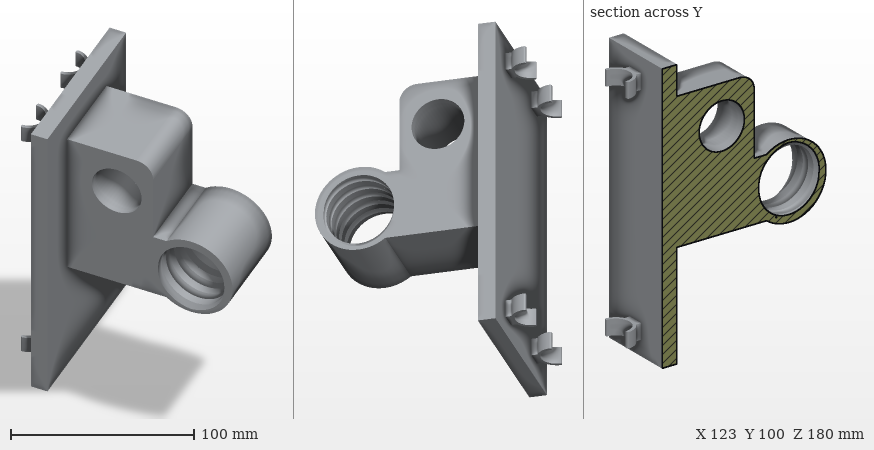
import cadquery as cq

plate_thickness = 10.0
plate_width = 100.0
plate_height = 180.0

bracket_width = 50.0
block_back_x = 62.0
block_top_z = 71.0
block_corner_radius = 10.0
arm_half_height = 20.0

cross_hole_radius = 15.0
cross_hole_x = 40.0
cross_hole_z = 45.0

tube_outer_radius = 25.0
bore_radius = 20.0
tube_x = 85.0

thread_pitch = 10.0
groove_width = thread_pitch / 2
groove_depth = 3.0
groove_overlap = 0.5
groove_run_in = thread_pitch
groove_run_out = thread_pitch / 2

clip_outer_radius = 11.0
clip_inner_radius = 9.0
clip_tip_radius = 1.0
clip_axis_x = -13.0
clip_height = 10.0
clip_stem_width = 10.7
clip_y_offset = 25.0
clip_z_offset = 75.0


def cylinder_along_y(radius, x, z):
    """Cylinder as long as the bracket is wide, parallel to Y."""
    return cq.Workplane("XZ").center(x, z).circle(radius).extrude(bracket_width / 2, both=True)


def make_plate():
    return cq.Workplane("XY").box(
        plate_thickness, plate_width, plate_height, centered=(False, True, True)
    )


def make_bracket():
    """Block, arm and tube body, still without holes."""
    corner_start = (block_back_x, block_top_z - block_corner_radius)
    corner_end = (block_back_x - block_corner_radius, block_top_z)
    block_and_arm = (
        cq.Workplane("XZ")
        .moveTo(plate_thickness, -arm_half_height)
        .lineTo(tube_x, -arm_half_height)
        .lineTo(tube_x, arm_half_height)
        .lineTo(block_back_x, arm_half_height)
        .lineTo(*corner_start)
        .radiusArc(corner_end, -block_corner_radius)
        .lineTo(plate_thickness, block_top_z)
        .close()
        .extrude(bracket_width / 2, both=True)
    )
    return block_and_arm.union(cylinder_along_y(tube_outer_radius, tube_x, 0))


def make_thread_groove():
    """Helical V cutter that runs past both ends of the bore.

    It is swept about Z from +X, then turned so that its axis lies along +Y
    and the groove crosses the bottom of the bore at the -Y face.
    """
    helix_length = groove_run_in + bracket_width + groove_run_out
    base_half_width = groove_width / 2 * (1 + groove_overlap / groove_depth)
    base_radius = bore_radius - groove_overlap
    helix = cq.Wire.makeHelix(thread_pitch, helix_length, bore_radius)
    groove = (
        cq.Workplane("XZ")
        .moveTo(base_radius, -base_half_width)
        .lineTo(bore_radius + groove_depth, 0)
        .lineTo(base_radius, base_half_width)
        .close()
        .sweep(cq.Workplane(obj=helix), isFrenet=True)
    )
    return (
        groove.rotate((0, 0, 0), (1, 0, 0), -90)
        .rotate((0, 0, 0), (0, 1, 0), 90)
        .translate((tube_x, -bracket_width / 2 - groove_run_in, 0))
    )


def make_clip():
    """Half ring on a short stem, open toward -X, centred on Y = 0 and Z = 0."""
    base = cq.Workplane("XY", origin=(clip_axis_x, 0, -clip_height / 2))
    half_ring = (
        base.moveTo(0, -clip_outer_radius)
        .threePointArc((clip_outer_radius, 0), (0, clip_outer_radius))
        .lineTo(0, clip_inner_radius)
        .threePointArc((clip_inner_radius, 0), (0, -clip_inner_radius))
        .close()
        .extrude(clip_height)
    )
    half_ring = half_ring.edges("|Z and <X").edges("<Y or >Y").fillet(clip_tip_radius)
    opening = base.circle(clip_inner_radius).extrude(clip_height)
    stem = (
        base.moveTo(0, -clip_stem_width / 2)
        .lineTo(-clip_axis_x, -clip_stem_width / 2)
        .lineTo(-clip_axis_x, clip_stem_width / 2)
        .lineTo(0, clip_stem_width / 2)
        .close()
        .extrude(clip_height)
        .cut(opening)
    )
    return half_ring.union(stem)


bracket = (
    make_bracket()
    .cut(cylinder_along_y(bore_radius, tube_x, 0))
    .cut(make_thread_groove())
    .cut(cylinder_along_y(cross_hole_radius, cross_hole_x, cross_hole_z))
)
result = make_plate().union(bracket)
for y_side in (-1, 1):
    for z_side in (-1, 1):
        clip_place = (0, y_side * clip_y_offset, z_side * clip_z_offset)
        result = result.union(make_clip().translate(clip_place))